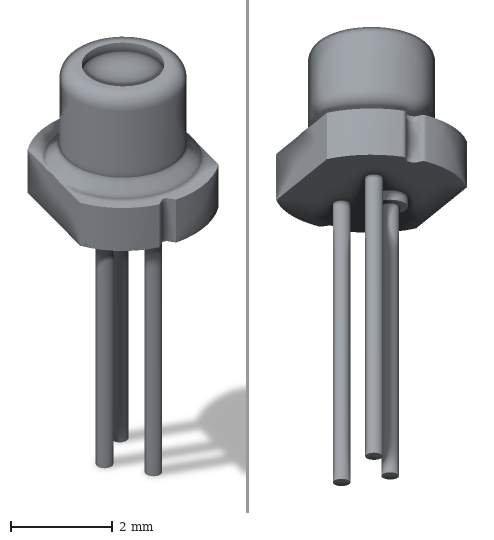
import cadquery as cq
import math

total_height = 9.15

flange_radius = 1.9
flange_thickness = 1.0
width_across_flats = 3.08
vee_floor_x = 1.75
vee_floor_radius = 0.1
round_notch_floor_x = 1.72
round_notch_radius = 0.165
round_notch_edge_fillet = 0.1

cap_radius = 1.25
cap_height = 2.15
rim_fillet = 0.3
window_radius = 0.81
window_depth = 0.2
skirt_height = 0.3

pin_radius = 0.17
side_pin_x = 0.71
side_pin_y = 0.3
centre_pin_y = -0.41
collar_radius = 0.35
collar_height = 0.2

pin_length = total_height - flange_thickness - cap_height
pin_embed = flange_thickness / 2


def make_flat_sided_disc(height):
    """Disc of the flange radius, trimmed to the width across flats."""
    disc = cq.Workplane("XY").circle(flange_radius).extrude(height)
    trim = cq.Workplane("XY").rect(2 * flange_radius, width_across_flats).extrude(height)
    return disc.intersect(trim)


def make_vee_notch():
    """Cutter for the +X notch: 45 degree sides tangent to a rounded floor."""
    tangent_offset = vee_floor_radius * math.sin(math.pi / 4)
    tangent_x = vee_floor_x + vee_floor_radius - tangent_offset
    mouth_x = flange_radius + vee_floor_radius
    mouth_y = tangent_offset + mouth_x - tangent_x
    return (
        cq.Workplane("XY")
        .moveTo(mouth_x, mouth_y)
        .lineTo(tangent_x, tangent_offset)
        .threePointArc((vee_floor_x, 0), (tangent_x, -tangent_offset))
        .lineTo(mouth_x, -mouth_y)
        .close()
        .extrude(flange_thickness)
    )


def make_round_notch():
    """Cutter for the -X notch: a plain round hole breaking the rim."""
    centre_x = -(round_notch_floor_x + round_notch_radius)
    return cq.Workplane("XY").center(centre_x, 0).circle(round_notch_radius).extrude(flange_thickness)


def make_flange():
    flange = make_flat_sided_disc(flange_thickness).cut(make_round_notch())
    mouth_box = cq.selectors.BoxSelector(
        (-flange_radius, -2 * round_notch_radius, 0),
        (-round_notch_floor_x, 2 * round_notch_radius, flange_thickness),
    )
    flange = flange.edges("|Z").edges(mouth_box).fillet(round_notch_edge_fillet)
    return flange.cut(make_vee_notch())


def make_cap():
    """Cap revolved about Z, with its skirt trimmed flush with the flange flats."""
    top = flange_thickness + cap_height
    skirt_top = flange_thickness + skirt_height
    rim_inset = rim_fillet * (1 - math.sin(math.pi / 4))
    cap = (
        cq.Workplane("XZ")
        .moveTo(0, flange_thickness)
        .lineTo(cap_radius + skirt_height, flange_thickness)
        .lineTo(cap_radius, skirt_top)
        .lineTo(cap_radius, top - rim_fillet)
        .threePointArc((cap_radius - rim_inset, top - rim_inset), (cap_radius - rim_fillet, top))
        .lineTo(window_radius, top)
        .lineTo(window_radius, top - window_depth)
        .lineTo(0, top - window_depth)
        .close()
        .revolve(360, (0, 0), (0, 1))
    )
    return cap.intersect(make_flat_sided_disc(top))


def make_post(x, y, radius, length):
    """Round post reaching the given length below the flange."""
    return (
        cq.Workplane("XY", origin=(x, y, -length))
        .circle(radius)
        .extrude(length + pin_embed)
    )


result = make_flange().union(make_cap())
for pin_x, pin_y in ((-side_pin_x, side_pin_y), (side_pin_x, side_pin_y), (0, centre_pin_y)):
    result = result.union(make_post(pin_x, pin_y, pin_radius, pin_length))
result = result.union(make_post(0, centre_pin_y, collar_radius, collar_height))